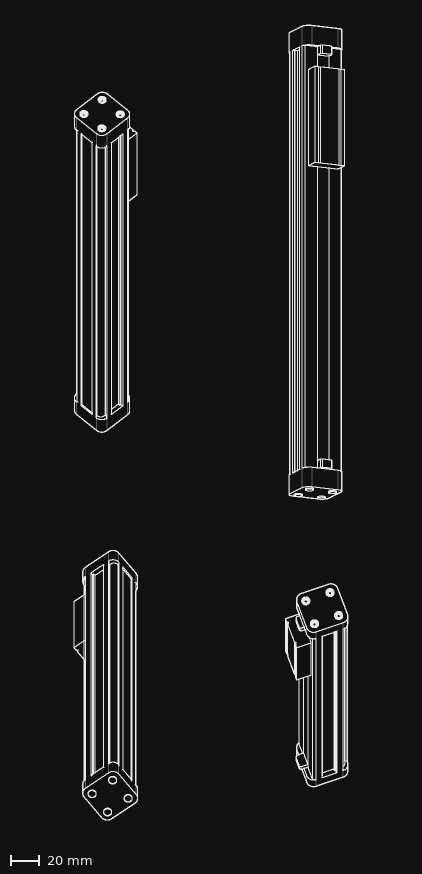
import cadquery as cq
import math

overall_length = 330.8
cap_width = 30.0
half_width = cap_width / 2
screw_head_height = 0.8
cylinder_length = overall_length - screw_head_height

tube_length = 302.0
cap_length = (cylinder_length - tube_length) / 2
cap_corner_radius = 5.0
cap_flat_half = half_width - cap_corner_radius

tube_back_y = 12.2
dovetail_angle = math.radians(30)
post_radius = 3.5
front_flat_half = 9.5
side_undercut_depth = 2.5
front_undercut_depth = 1.5

slot_width = 11.0
front_slot_depth = 1.0
side_slot_step_depth = 1.5
side_slot_inner_width = 9.0
side_slot_depth = 3.3

screw_offset = 9.0
screw_head_diameter = 5.5
screw_recess_depth = 0.5
socket_diameter = 4.0
socket_depth = 1.3
centre_hole_diameter = 2.45
centre_hole_depth = 1.5
drill_tip_half_angle = math.radians(59)
screw_points = [(x, y) for x in (-screw_offset, screw_offset) for y in (-screw_offset, screw_offset)]

clamp_width = 9.0
clamp_length = 6.0
clamp_top_y = 18.2
clamp_edge_chamfer = 1.0
band_thickness = 1.0

carriage_width = 22.8
carriage_length = 68.8
carriage_overhang = 8.0
carriage_top_y = half_width + carriage_overhang
carriage_end_gap = 31.0
groove_diameter = 1.5
groove_offset = 8.0


def box(x_range, y_range, z_range):
    """Axis-aligned box between pairs of limits."""
    (x0, x1), (y0, y1), (z0, z1) = x_range, y_range, z_range
    return cq.Workplane("XY").box(x1 - x0, y1 - y0, z1 - z0, centered=False).translate((x0, y0, z0))


def centred(width):
    """Limits of a width centred on zero."""
    return (-width / 2, width / 2)


def make_end_cap(z_start):
    """Square block with rounded long edges."""
    block = cq.Workplane("XY").workplane(offset=z_start).rect(cap_width, cap_width).extrude(cap_length)
    return block.edges("|Z").fillet(cap_corner_radius)


def make_tube():
    """Tube with chamfered back corners and a rounded, undercut post at each front corner."""
    lean = math.tan(dovetail_angle)
    back_chamfer = (tube_back_y - cap_flat_half) * lean
    post_x = half_width - side_undercut_depth
    post_y = half_width - front_undercut_depth
    arc_centre = (post_x - post_radius, post_y - post_radius)
    arc_middle = tuple(c + post_radius * math.sqrt(0.5) for c in arc_centre)
    half_section = (
        cq.Workplane("XY")
        .workplane(offset=cap_length)
        .moveTo(0, tube_back_y)
        .lineTo(half_width - back_chamfer, tube_back_y)
        .lineTo(half_width, cap_flat_half)
        .lineTo(half_width, -cap_flat_half)
        .lineTo(post_x, -cap_flat_half + side_undercut_depth * lean)
        .lineTo(post_x, -arc_centre[1])
        .threePointArc((arc_middle[0], -arc_middle[1]), (arc_centre[0], -post_y))
        .lineTo(front_flat_half - front_undercut_depth * lean, -post_y)
        .lineTo(front_flat_half, -half_width)
        .lineTo(0, -half_width)
        .close()
        .extrude(tube_length)
    )
    return half_section.union(half_section.mirror("YZ"))


def cut_slots(tube):
    """Shallow slot along the front and a stepped slot along each side."""
    along = (cap_length, cap_length + tube_length)
    tube = tube.cut(box(centred(slot_width), (-half_width, -half_width + front_slot_depth), along))
    for width, depth in ((slot_width, side_slot_step_depth), (side_slot_inner_width, side_slot_depth)):
        side_slot = box((half_width - depth, half_width), centred(width), along)
        tube = tube.cut(side_slot).cut(side_slot.mirror("YZ"))
    return tube


def make_screw_recess():
    """Stepped screw recess with a conical bottom, opening at z = 0."""
    tip_depth = centre_hole_diameter / 2 / math.tan(drill_tip_half_angle)
    return (
        cq.Workplane("XZ")
        .moveTo(0, 0)
        .lineTo(screw_head_diameter / 2, 0)
        .lineTo(screw_head_diameter / 2, -screw_recess_depth)
        .lineTo(socket_diameter / 2, -screw_recess_depth)
        .lineTo(socket_diameter / 2, -socket_depth)
        .lineTo(centre_hole_diameter / 2, -socket_depth)
        .lineTo(centre_hole_diameter / 2, -centre_hole_depth)
        .lineTo(0, -centre_hole_depth - tip_depth)
        .close()
        .revolve(360, (0, 0), (0, 1))
    )


def make_cylinder():
    """Tube with both end caps, screw heads below and screw recesses on top."""
    body = cut_slots(make_tube())
    for z_start in (0, cylinder_length - cap_length):
        body = body.union(make_end_cap(z_start))
    heads = cq.Workplane("XY").pushPoints(screw_points).circle(screw_head_diameter / 2)
    body = body.union(heads.extrude(-screw_head_height))
    recess = make_screw_recess()
    for x, y in screw_points:
        body = body.cut(recess.translate((x, y, cylinder_length)))
    return body


def make_band():
    """Flat band let into the back of the tube, joining the two end clamps."""
    along = (cap_length, cap_length + tube_length)
    band = box(centred(clamp_width), (tube_back_y - band_thickness, tube_back_y), along)
    for z_start in (along[0], along[1] - clamp_length):
        clamp = box(centred(clamp_width), (tube_back_y, clamp_top_y), (z_start, z_start + clamp_length))
        band = band.union(clamp.edges("|Z and >Y").chamfer(clamp_edge_chamfer))
    return band


def make_carriage():
    """Block on the back of the tube with two round-bottomed grooves along it."""
    z_top = cylinder_length - carriage_end_gap
    along = (z_top - carriage_length, z_top)
    carriage = box(centred(carriage_width), (tube_back_y, carriage_top_y), along)
    grooves = (
        cq.Workplane("XY")
        .workplane(offset=along[0])
        .pushPoints([(x, carriage_top_y) for x in (-groove_offset, groove_offset)])
        .circle(groove_diameter / 2)
        .extrude(carriage_length)
    )
    return carriage.cut(grooves)


band = make_band()
cylinder = make_cylinder().cut(band)
carriage = make_carriage()

result = cq.Compound.makeCompound([cylinder.val(), band.val(), carriage.val()])